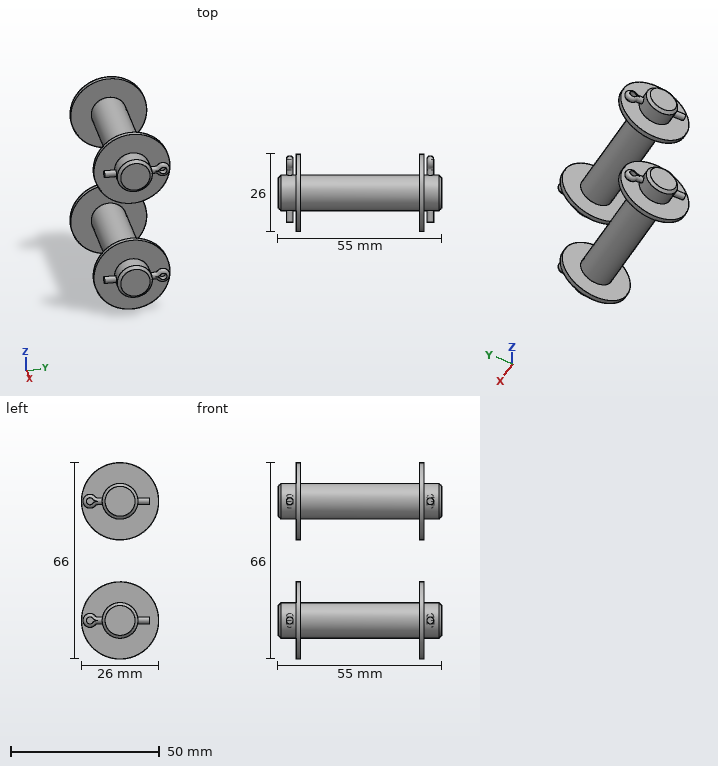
import cadquery as cq
import math

overall_height = 66.0
pin_length = 55.0
pin_diameter = 12.0
pin_chamfer = 1.0
washer_diameter = 26.0
washer_thickness = 1.6
washer_inset = 6.0

cotter_diameter = 2.3
cotter_inset = 3.9
cotter_tip = 9.9
eye_offset = 10.1
eye_inner_radius = 1.2
bend_radius = 2.0

cotter_radius = cotter_diameter / 2
pin_spacing = overall_height - washer_diameter
cotter_x = pin_length / 2 - cotter_inset
washer_x = pin_length / 2 - washer_inset - washer_thickness / 2
bend_length = math.sqrt((eye_inner_radius + bend_radius) ** 2 - bend_radius ** 2)
leg_start = eye_offset - bend_length
eye_opening = math.degrees(math.atan2(bend_radius, bend_length))


def make_rod():
    """Chamfered clevis pin along X, centred on the origin."""
    rod = cq.Workplane("YZ", origin=(-pin_length / 2, 0, 0)).circle(pin_diameter / 2).extrude(pin_length)
    return rod.faces("<X or >X").chamfer(pin_chamfer)


def make_washer(x):
    """Washer disc centred at x on the pin axis."""
    left_face = (x - washer_thickness / 2, 0, 0)
    return cq.Workplane("YZ", origin=left_face).circle(washer_diameter / 2).extrude(washer_thickness)


def wire_section(y, z):
    """Half-round wire section in a plane across Y, its flat at height z facing down."""
    return (
        cq.Workplane("XZ", origin=(0, y, z))
        .moveTo(-cotter_radius, 0)
        .threePointArc((0, cotter_radius), (cotter_radius, 0))
        .close()
    )


def make_bend():
    """Upper bend, from the end of the legs to the eye."""
    bend_angle = 90 - eye_opening
    return wire_section(leg_start, 0).revolve(bend_angle, (0, bend_radius), (1, bend_radius))


def make_eye():
    """Round part of the eye, open towards the legs between the two bends."""
    eye_angle = 360 - 2 * eye_opening
    eye = wire_section(0, eye_inner_radius).revolve(eye_angle, (0, -eye_inner_radius), (1, -eye_inner_radius))
    return eye.rotate((0, 0, 0), (1, 0, 0), -90 - eye_angle / 2).translate((0, eye_offset, 0))


def make_cotter(x):
    """Split pin along Y through the clevis pin at x, with its eye on the +Y side."""
    legs = (
        cq.Workplane("XZ", origin=(0, leg_start, 0))
        .circle(cotter_radius)
        .extrude(leg_start + cotter_tip)
    )
    bend = make_bend()
    cotter = legs
    for part in (bend, make_eye(), bend.mirror("XY")):
        cotter = cotter.union(part, clean=False)
    return cotter.translate((x, 0, 0))


def make_pin_assembly(z):
    """One body: clevis pin with a washer and a split pin at each end, its axis at height z."""
    body = make_rod()
    for side in (-1, 1):
        body = body.union(make_washer(side * washer_x))
    for side in (-1, 1):
        body = body.union(make_cotter(side * cotter_x), clean=False)
    return body.translate((0, 0, z))


pin_assemblies = [make_pin_assembly(side * pin_spacing / 2) for side in (-1, 1)]

result = cq.Compound.makeCompound([assembly.val() for assembly in pin_assemblies])